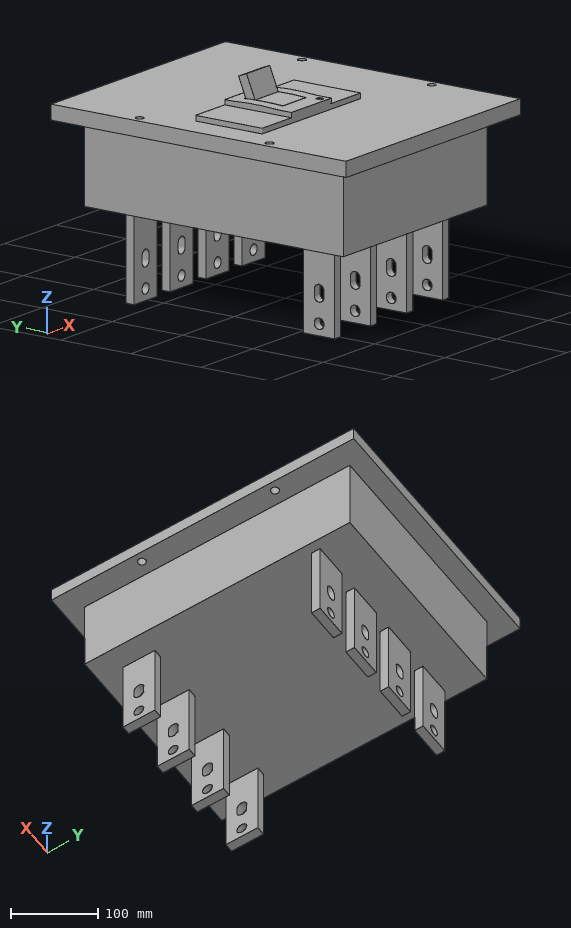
import cadquery as cq
import math

plate_width = 338.0
plate_length = 420.0
plate_thickness = 19.5
plate_hole_diameter = 10.0
plate_hole_x = 157.0
plate_hole_y = 92.5

body_width = 278.5
body_length = 368.5
body_height = 105.0

bar_count = 4
bar_pitch = 69.7
bar_width = 44.5
bar_thickness = 11.8
bar_height = 109.5
bar_row_y = 128.5
bar_hole_diameter = 13.5
bar_hole_height = 14.5
bar_slot_length = 21.0
bar_slot_height = 51.0

panel_x = -bar_pitch / 2
panel_y = -14.5
panel_width = 190.5
panel_length = 95.0
panel_thickness = 6.7
panel_corner_radius = 1.0
block_width = 77.3
block_height = 6.5

crown_y = -10.5
crown_length = 64.3
crown_rise = 1.3
window_length = 54.5
window_depth = 0.2

button_width = 5.0
button_length = 6.7
button_depth = 1.0
button_x = panel_x + 30.0
button_y = -52.0

total_height = 277.0
lever_width = 45.0
lever_thickness = 12.0
lever_tilt = 22.5
lever_tip_y = 19.5

body_bottom = bar_height
plate_bottom = body_bottom + body_height
plate_top = plate_bottom + plate_thickness
panel_top = plate_top + panel_thickness
block_top = panel_top + block_height


def box(width, length, bottom, top, x=0.0, y=0.0):
    """Upright box centred on (x, y) between two levels."""
    return cq.Workplane("XY", origin=(x, y, bottom)).rect(width, length).extrude(top - bottom)


def make_plate():
    plate = box(plate_width, plate_length, plate_bottom, plate_top)
    return (
        plate.faces(">Z").workplane(origin=(0, 0, plate_top))
        .rect(2 * plate_hole_x, 2 * plate_hole_y, forConstruction=True)
        .vertices().hole(plate_hole_diameter)
    )


def make_bar():
    """One bar standing on Z = 0, flat in the XZ plane, with a round hole and a slot."""
    bar = box(bar_width, bar_thickness, 0, bar_height)
    openings = (
        cq.Workplane("XZ")
        .center(0, bar_hole_height).circle(bar_hole_diameter / 2)
        .center(0, bar_slot_height - bar_hole_height).slot2D(bar_slot_length, bar_hole_diameter, 90)
        .extrude(bar_thickness, both=True)
    )
    return bar.cut(openings)


def make_panel():
    panel = box(panel_width, panel_length, plate_top, panel_top, panel_x, panel_y)
    panel = panel.edges("|Z").fillet(panel_corner_radius)
    return panel.union(box(block_width, panel_length, panel_top, block_top, panel_x, panel_y))


def make_crown():
    """Circular segment across Y on top of the block, with a window floor parallel to its surface."""
    half = crown_length / 2
    crown = (
        cq.Workplane("YZ", origin=(panel_x - block_width / 2, crown_y, block_top))
        .moveTo(-half, 0)
        .threePointArc((0, crown_rise), (half, 0))
        .close()
        .extrude(block_width)
    )
    radius = (half**2 + crown_rise**2) / (2 * crown_rise)
    floor = (
        cq.Workplane("YZ", origin=(panel_x - lever_width / 2, crown_y, block_top + crown_rise - radius))
        .circle(radius - window_depth)
        .extrude(lever_width)
    )
    window = box(lever_width, window_length, block_top, block_top + crown_rise, panel_x, crown_y)
    return crown.cut(window.cut(floor))


def make_lever():
    """Tilted slab whose highest edge is at the total height; its foot is sunk in the block."""
    tilt = math.radians(lever_tilt)
    tip_z = total_height - lever_thickness / 2 * math.sin(tilt)
    length = (tip_z - panel_top) / math.cos(tilt)
    slab = box(lever_width, lever_thickness, -length, 0)
    return slab.rotate((0, 0, 0), (1, 0, 0), -lever_tilt).translate((panel_x, lever_tip_y, tip_z))


def make_bars():
    """All bars, placed: the front row turned edge-on to -Y, the rear row facing it."""
    rear_bar = make_bar()
    front_bar = rear_bar.rotate((0, 0, 0), (0, 0, 1), 90)
    bars = cq.Workplane("XY")
    for index in range(bar_count):
        bar_x = (index - (bar_count - 1) / 2) * bar_pitch
        bars = bars.add(front_bar.translate((bar_x, -bar_row_y, 0)))
        bars = bars.add(rear_bar.translate((bar_x, bar_row_y, 0)))
    return bars.combine()


body = box(body_width, body_length, body_bottom, plate_bottom)
button = box(button_width, button_length, block_top - button_depth, block_top, button_x, button_y)

result = make_plate().union(body).union(make_bars())
result = result.union(make_panel()).union(make_crown()).union(make_lever())
result = result.cut(button)